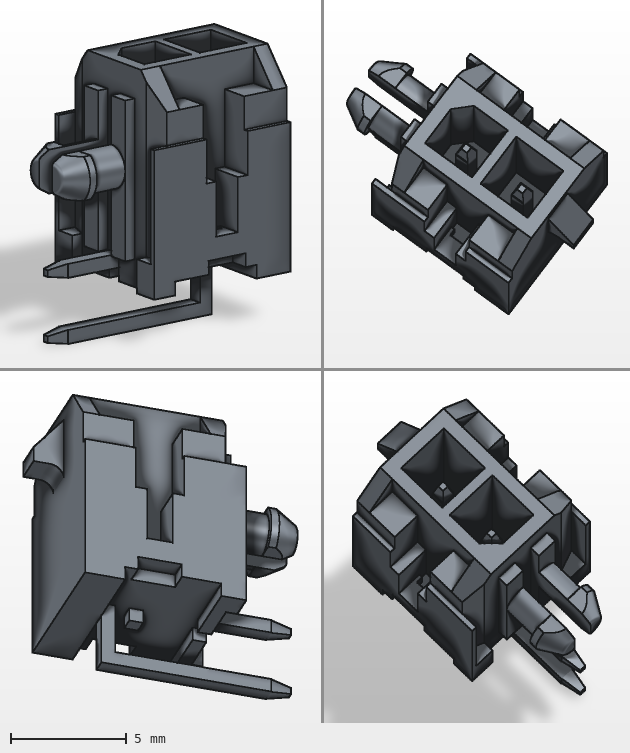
import cadquery as cq


top_z = 12.24
shoulder_z = 10.59
plate_top_z = 9.08
step_z = 7.1
pocket_floor_z = 4.61
foot_top_z = 3.89
underside_z = 2.97
foot_bottom_z = 2.35

plate_half = 3.57
body_half = 3.32
core_half = 1.92
foot_inner_half = 2.33
anchor_outer_half = 2.64

body_front_y = 0.51
side_bevel_y = 0.88
back_y = 7.37
front_foot_back_y = 1.14
front_wall_y = 1.55
rear_wall_y = 6.61
tip_y = -3.2
side_slot_y = 3.94

wide_slot_length = 2.22
narrow_slot_length = 1.18
anchor_slot_length = 0.82
anchor_slot_depth = 0.64
notch_length = 2.0
notch_top_z = 3.6

pin_pitch = 3.0
pin_width = 0.69
pin_thickness = 0.64
pin_end_size = 0.3
pin_taper = 0.97
front_contact_y = 2.44
contact_tip_z = 9.79
rear_leg_y = 5.21
front_leg_y = rear_leg_y - pin_pitch
rear_pin_z = 0.0
front_pin_z = underside_z

cavity_width = 2.58
cavity_length = 2.53
cavity_floor_z = pocket_floor_z
key_chamfer = 0.71

rib_inner = 0.48
rib_bottom_z = 3.6
rib_top_z = 10.85
peg_z = 7.65
peg_radius = 0.99
rib_outer = rib_inner + peg_radius
head_radius = 1.3
head_back_y = -1.75
head_taper_y = -2.12
head_tip_radius = 0.67
head_tip_fillet = 0.23

latch_width = 1.42
latch_top_z = 11.66
latch_nose_y = 8.75
latch_nose_top_z = 10.04
latch_nose_bottom_z = 9.33
latch_root_radius = 0.67
latch_root_length = 0.66
latch_root_drop = 0.55

nub_length = 0.64


def block(x0, x1, y0, y1, z0, z1):
    """Axis-aligned box between two opposite corners."""
    return cq.Workplane("XY").box(x1 - x0, y1 - y0, z1 - z0, centered=False).translate((x0, y0, z0))


def centred_block(half_x, y0, y1, z0, z1):
    """Box that is symmetric about X = 0."""
    return block(-half_x, half_x, y0, y1, z0, z1)


def both_sides(shape):
    """Shape on the +X side together with its mirror image."""
    return shape.union(shape.mirror("YZ"))


def make_body():
    """Housing block with beveled front corners, sloped shoulders, thin side plates and feet."""
    plan = (
        cq.Workplane("XY").workplane(offset=underside_z)
        .moveTo(-body_half, back_y)
        .lineTo(-body_half, side_bevel_y)
        .lineTo(-foot_inner_half, body_front_y)
        .lineTo(foot_inner_half, body_front_y)
        .lineTo(body_half, side_bevel_y)
        .lineTo(body_half, back_y)
        .close()
        .extrude(top_z - underside_z)
    )
    gable = (
        cq.Workplane("XZ")
        .moveTo(-body_half, underside_z)
        .lineTo(-body_half, shoulder_z)
        .lineTo(-core_half, top_z)
        .lineTo(core_half, top_z)
        .lineTo(body_half, shoulder_z)
        .lineTo(body_half, underside_z)
        .close()
        .extrude(-back_y)
    )
    side_plate = block(body_half, plate_half, 0, back_y, underside_z, plate_top_z)
    front_foot = block(foot_inner_half, plate_half, 0, front_foot_back_y, foot_bottom_z, foot_top_z)
    rear_foot_front_y = rear_leg_y + pin_thickness / 2
    return (
        plan.intersect(gable)
        .union(both_sides(side_plate))
        .union(both_sides(front_foot))
        .union(centred_block(foot_inner_half, body_front_y, front_foot_back_y, foot_bottom_z, foot_top_z))
        .union(centred_block(plate_half, rear_foot_front_y, back_y, foot_bottom_z, foot_top_z))
        .cut(centred_block(pin_width / 2, 0, front_foot_back_y, foot_bottom_z, underside_z))
    )


def side_opening(x0, x1, length, z0, z1):
    """Cutter on the +X side, centred along Y on the side slot."""
    return block(x0, x1, side_slot_y - length / 2, side_slot_y + length / 2, z0, z1)


def make_side_pockets():
    """Stepped opening in each side, with a T-shaped anchor slot in its floor and a notch below."""
    anchor_bottom_z = pocket_floor_z - anchor_slot_depth
    pocket = (
        block(core_half, plate_half, front_wall_y, rear_wall_y, shoulder_z, top_z)
        .union(side_opening(core_half, plate_half, wide_slot_length, step_z, top_z))
        .union(side_opening(core_half, plate_half, narrow_slot_length, pocket_floor_z, top_z))
        .union(side_opening(core_half, foot_inner_half, narrow_slot_length, anchor_bottom_z, top_z))
        .union(side_opening(core_half, anchor_outer_half, anchor_slot_length, anchor_bottom_z, step_z))
        .union(side_opening(anchor_outer_half, plate_half, notch_length, underside_z, notch_top_z))
    )
    return both_sides(pocket)


def make_cavity(contact_y):
    """Rectangular cavity around one contact."""
    half_length = cavity_length / 2
    return centred_block(
        cavity_width / 2, contact_y - half_length, contact_y + half_length, cavity_floor_z, top_z
    )


def make_peg_half():
    """+X half of the split peg: round barrel and a barbed head with flat top and bottom."""
    barrel = (
        cq.Workplane("XZ").center(rib_inner, peg_z).circle(peg_radius).extrude(-head_back_y)
    )
    collar = (
        cq.Workplane("XZ", origin=(0, head_back_y, 0)).center(rib_inner, peg_z)
        .circle(head_radius).extrude(head_back_y - head_taper_y)
    )
    cone = (
        cq.Workplane("XZ", origin=(0, head_taper_y, 0)).center(rib_inner, peg_z)
        .circle(head_radius)
        .workplane(offset=head_taper_y - tip_y).circle(head_tip_radius)
        .loft()
        .faces("<Y").edges().fillet(head_tip_fillet)
    )
    envelope = block(
        rib_inner, rib_inner + head_radius, tip_y, 0, peg_z - peg_radius, peg_z + peg_radius
    )
    return barrel.union(collar).union(cone).intersect(envelope)


def make_front_ribs():
    """Pair of upright ribs on the front face, each carrying one half of the peg."""
    rib = block(rib_inner, rib_outer, 0, body_front_y, rib_bottom_z, rib_top_z)
    return both_sides(rib.union(make_peg_half()))


def make_latch():
    """Wedge-shaped latch on the back with a hollow round under its nose."""
    return (
        cq.Workplane("YZ")
        .moveTo(back_y, latch_top_z)
        .lineTo(latch_nose_y, latch_nose_top_z)
        .lineTo(latch_nose_y, latch_nose_bottom_z)
        .lineTo(back_y + latch_root_length, latch_nose_bottom_z)
        .radiusArc((back_y, latch_nose_bottom_z - latch_root_drop), -latch_root_radius)
        .close()
        .extrude(latch_width / 2, both=True)
    )


def make_pin_end():
    """Tapered pin end, pointing up from Z = 0."""
    return (
        cq.Workplane("XY").rect(pin_thickness, pin_thickness)
        .workplane(offset=pin_taper).rect(pin_end_size, pin_end_size)
        .loft()
    )


def make_pin(contact_y, leg_y, tail_bottom_z):
    """Contact in the cavity, leg through the housing and horizontal tail toward -Y."""
    half_width = pin_width / 2
    half_thickness = pin_thickness / 2
    contact_end_z = contact_tip_z - pin_taper
    tail_end_y = tip_y + pin_taper
    contact = centred_block(
        half_width, contact_y - half_thickness, contact_y + half_thickness, underside_z, contact_end_z
    )
    leg = centred_block(
        half_width, leg_y - half_thickness, leg_y + half_thickness, tail_bottom_z, cavity_floor_z
    )
    tail = centred_block(
        half_width, tail_end_y, leg_y + half_thickness, tail_bottom_z, tail_bottom_z + pin_thickness
    )
    contact_end = make_pin_end().translate((0, contact_y, contact_end_z))
    tail_end = (
        make_pin_end().rotate((0, 0, 0), (1, 0, 0), 90)
        .translate((0, tail_end_y, tail_bottom_z + half_thickness))
    )
    return contact.union(leg).union(tail).union(contact_end).union(tail_end)


rear_contact_y = front_contact_y + pin_pitch
front_cavity = make_cavity(front_contact_y).edges("|Z and <X and <Y").chamfer(key_chamfer)
housing = make_body().cut(make_side_pockets()).cut(make_cavity(rear_contact_y)).cut(front_cavity)

nub = centred_block(
    pin_width / 2, side_slot_y - nub_length / 2, side_slot_y + nub_length / 2, foot_bottom_z, foot_top_z
)

result = (
    housing
    .union(nub)
    .union(make_front_ribs())
    .union(make_latch())
    .union(make_pin(rear_contact_y, rear_leg_y, rear_pin_z))
    .union(make_pin(front_contact_y, front_leg_y, front_pin_z))
)